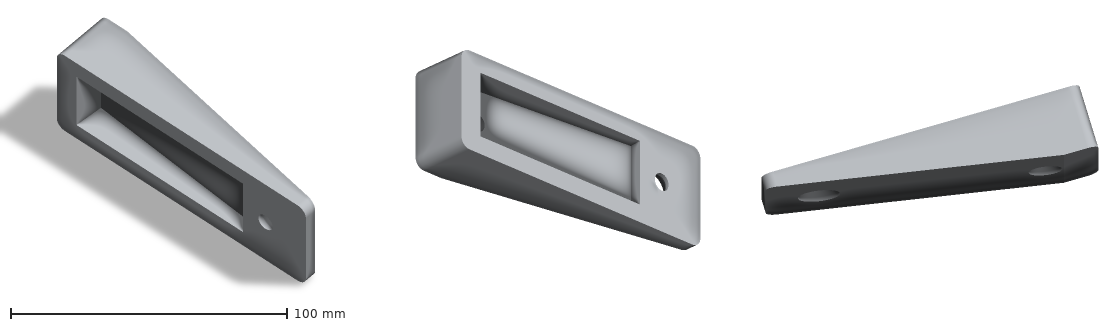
import cadquery as cq
import math

length = 120.0
depth = 24.0
height = 40.0
flat_back_length = 13.0
taper_angle = 10.0
corner_radius = 4.0
tip_depth = depth - (length - flat_back_length) * math.tan(math.radians(taper_angle))

pocket_left = 9.5
pocket_right = 89.6
pocket_height = 25.7
pocket_right_depth = 5.3
tilt_angle = 5.0
tilt = math.tan(math.radians(tilt_angle))

hole_diameter = 6.8
flare_half_angle = 33.0
left_bore_length = 7.2
right_bore_length = 1.9
bore_lead = 1.2
left_hole_x = 19.0
right_hole_x = 100.5
middle_z = height / 2


def extrude_in_z(points, size_z):
    """Prism of an XY outline, centred on the middle height."""
    return (
        cq.Workplane("XY", origin=(0, 0, middle_z))
        .polyline(points)
        .close()
        .extrude(size_z / 2, both=True)
    )


def make_body():
    outline = [
        (0, 0),
        (length, 0),
        (length, tip_depth),
        (flat_back_length, depth),
        (0, depth),
    ]
    wedge = extrude_in_z(outline, height)
    rounded_block = (
        cq.Workplane("XZ")
        .rect(length, height, centered=False)
        .extrude(-depth)
        .edges("|Y")
        .fillet(corner_radius)
    )
    return wedge.intersect(rounded_block)


def floor_depth(x):
    """Y of the tilted pocket floor at a given X."""
    floor_right_x = pocket_right + pocket_right_depth * tilt
    return pocket_right_depth + (floor_right_x - x) * tilt


def make_pocket():
    floor_left_depth = floor_depth(pocket_left) / (1 + tilt**2)
    outline = [
        (pocket_left, 0),
        (pocket_right, 0),
        (pocket_right + pocket_right_depth * tilt, pocket_right_depth),
        (pocket_left + floor_left_depth * tilt, floor_left_depth),
    ]
    return extrude_in_z(outline, pocket_height)


def make_screw_hole(x, start_y, bore_length):
    """Tilted bore from start_y that flares into a countersink through the back."""
    axis = cq.Vector(tilt, 1, 0).normalized()
    start = cq.Vector(x, start_y, middle_z)
    bore_radius = hole_diameter / 2
    flare_length = depth
    flare_radius = bore_radius + flare_length * math.tan(math.radians(flare_half_angle))
    bore = cq.Solid.makeCylinder(
        bore_radius, bore_length + bore_lead, start - axis * bore_lead, axis
    )
    flare = cq.Solid.makeCone(
        bore_radius, flare_radius, flare_length, start + axis * bore_length, axis
    )
    return cq.Workplane(bore).union(cq.Workplane(flare))


left_hole = make_screw_hole(left_hole_x, floor_depth(left_hole_x), left_bore_length)
right_hole = make_screw_hole(right_hole_x, 0, right_bore_length)

result = make_body().cut(make_pocket()).cut(left_hole).cut(right_hole)